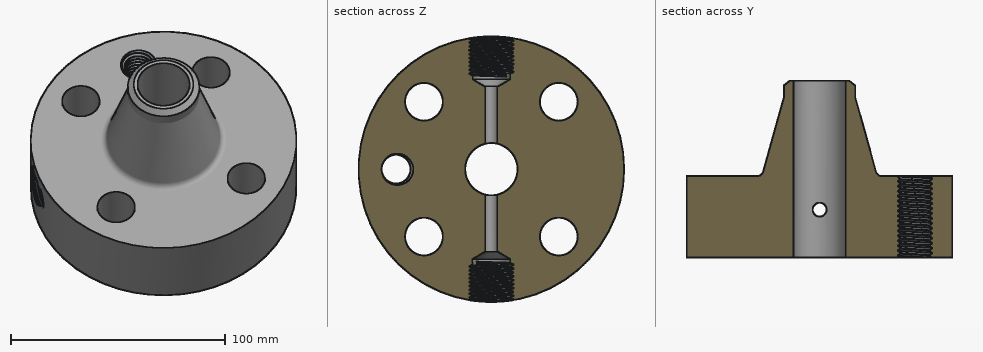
import cadquery as cq
import math

flange_diameter = 123.95
flange_thickness = 38.1
overall_height = 82.55

bore_diameter = 24.3
neck_diameter = 33.4
hub_base_diameter = 53.9
neck_length = 7.75
root_face_width = 1.75
bevel_angle = 37.5
hub_fillet_radius = 3.0

bolt_circle_diameter = 88.9
bolt_hole_diameter = 17.5
bolt_count = 4

jack_minor_diameter = 13.4
jack_major_diameter = 15.9
jack_pitch = 25.4 / 11
jack_thread_run_out = 1.3
jack_countersink_diameter = 16.6

tap_height = 22.4
tap_minor_diameter = 17.7
tap_major_diameter = 20.9
tap_pitch = 25.4 / 14
tap_depth = 20.0
tap_tip_angle = 118.0
tap_passage_diameter = 6.4
tap_thread_start_angle = 220.0

groove_mouth_ratio = 0.9
groove_root_ratio = 0.05
groove_overlap = 0.1


def make_body():
    """Flange disc and tapered neck, revolved about Z."""
    neck_radius = neck_diameter / 2
    root_radius = bore_diameter / 2 + root_face_width
    bevel_height = (neck_radius - root_radius) * math.tan(math.radians(bevel_angle))
    body = (
        cq.Workplane("XZ")
        .lineTo(flange_diameter / 2, 0)
        .lineTo(flange_diameter / 2, flange_thickness)
        .lineTo(hub_base_diameter / 2, flange_thickness)
        .lineTo(neck_radius, overall_height - neck_length)
        .lineTo(neck_radius, overall_height - bevel_height)
        .lineTo(root_radius, overall_height)
        .lineTo(0, overall_height)
        .close()
        .revolve(360, (0, 0), (0, 1))
    )
    flange_top = body.faces(cq.NearestToPointSelector((0, 0, flange_thickness)))
    hub_base_edge = flange_top.edges(cq.selectors.RadiusNthSelector(0))
    return hub_base_edge.fillet(hub_fillet_radius)


def make_thread_groove(minor_diameter, major_diameter, pitch, length):
    """Right-hand helical V groove around +Z, from Z = 0 to about the given length."""
    minor_radius = minor_diameter / 2
    inner_radius = minor_radius - groove_overlap
    half_mouth = pitch * groove_mouth_ratio / 2
    half_root = pitch * groove_root_ratio / 2
    helix = cq.Wire.makeHelix(pitch, length, minor_radius)
    return (
        cq.Workplane("XZ")
        .moveTo(inner_radius, -half_mouth)
        .lineTo(major_diameter / 2, -half_root)
        .lineTo(major_diameter / 2, half_root)
        .lineTo(inner_radius, half_mouth)
        .close()
        .sweep(cq.Workplane(obj=helix), isFrenet=True)
    )


def cut_bore_and_bolt_holes(body):
    bore = cq.Workplane("XY").circle(bore_diameter / 2).extrude(overall_height)
    bolt_holes = (
        cq.Workplane("XY")
        .polarArray(bolt_circle_diameter / 2, 180 / bolt_count, 360, bolt_count)
        .circle(bolt_hole_diameter / 2)
        .extrude(flange_thickness)
    )
    return body.cut(bore).cut(bolt_holes)


def cut_jack_screw_hole(body):
    """Countersunk, threaded hole right through the flange on the -X side."""
    axis_x = -bolt_circle_diameter / 2
    minor_radius = jack_minor_diameter / 2
    mouth_radius = jack_countersink_diameter / 2
    countersink_bottom = flange_thickness - (mouth_radius - minor_radius)
    core = cq.Workplane("XY").circle(minor_radius).extrude(flange_thickness)
    groove_length = flange_thickness + 2 * jack_thread_run_out
    groove = make_thread_groove(
        jack_minor_diameter, jack_major_diameter, jack_pitch, groove_length
    ).translate((0, 0, -jack_thread_run_out))
    countersink = (
        cq.Workplane("XZ")
        .moveTo(0, countersink_bottom)
        .lineTo(minor_radius, countersink_bottom)
        .lineTo(mouth_radius, flange_thickness)
        .lineTo(0, flange_thickness)
        .close()
        .revolve(360, (0, 0), (0, 1))
    )
    for cutter in (core, groove, countersink):
        body = body.cut(cutter.translate((axis_x, 0, 0)))
    return body


def cut_pressure_tapping(body, side_angle):
    """Radial threaded hole with a drill-point bottom and a small passage to the bore."""
    flange_radius = flange_diameter / 2
    tap_radius = tap_minor_diameter / 2
    passage_radius = tap_passage_diameter / 2
    tip_length = (tap_radius - passage_radius) / math.tan(math.radians(tap_tip_angle / 2))
    drilling = (
        cq.Workplane("XZ")
        .lineTo(passage_radius, 0)
        .lineTo(passage_radius, flange_radius - tap_depth - tip_length)
        .lineTo(tap_radius, flange_radius - tap_depth)
        .lineTo(tap_radius, flange_radius)
        .lineTo(0, flange_radius)
        .close()
        .revolve(360, (0, 0), (0, 1))
    )
    groove = (
        make_thread_groove(tap_minor_diameter, tap_major_diameter, tap_pitch, tap_depth)
        .rotate((0, 0, 0), (0, 0, 1), tap_thread_start_angle)
        .translate((0, 0, flange_radius - tap_depth + tap_pitch))
    )
    for cutter in (drilling, groove):
        placed = cutter.rotate((0, 0, 0), (1, 0, 0), 90)
        placed = placed.rotate((0, 0, 0), (0, 0, 1), side_angle)
        body = body.cut(placed.translate((0, 0, tap_height)))
    return body


part = cut_bore_and_bolt_holes(make_body())
part = cut_jack_screw_hole(part)
for side in (0, 180):
    part = cut_pressure_tapping(part, side)
result = cq.Workplane(part.solids().val())